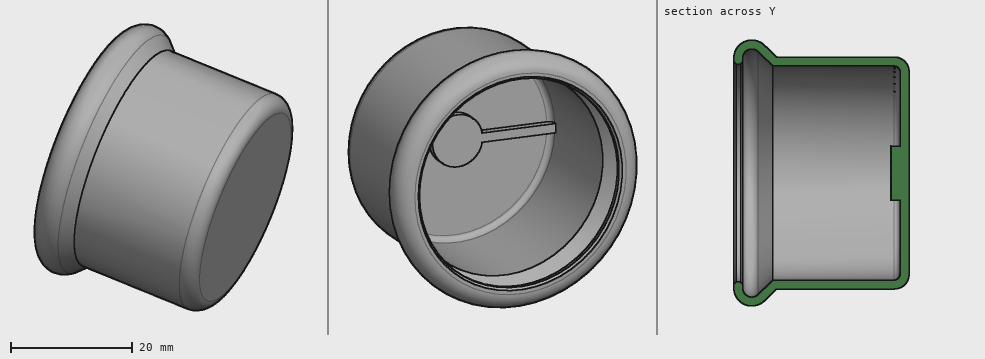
import cadquery as cq
import math

length = 29.0
rim_diameter = 44.0
body_diameter = 38.4
bore_diameter = 35.3
lip_diameter = 35.9

rim_round = 3.0
flank_angle = 44.0
lip_chamfer = 0.4
end_round = 2.5
floor_round = 1.0

pad_diameter = 9.0
pad_height = 1.5
rib_width = 1.6

body_radius = body_diameter / 2
bore_radius = bore_diameter / 2
lip_radius = lip_diameter / 2
wall = body_radius - bore_radius
floor_x = length - wall
inner_rim_round = rim_round - wall
rim_center_radius = rim_diameter / 2 - rim_round

flank_start = 90 - flank_angle
mouth_side = 180
rim_middle = (flank_start + mouth_side) / 2


def rim_point(radius, angle_deg):
    """Point (x, r) on a circle around the centre of the rim's cross-section."""
    angle = math.radians(angle_deg)
    return (
        rim_round + radius * math.cos(angle),
        rim_center_radius + radius * math.sin(angle),
    )


def flank_end(rim_radius, cylinder_radius):
    """Point where the flank tangent to a rim circle meets a cylinder."""
    x, r = rim_point(rim_radius, flank_start)
    run = (r - cylinder_radius) / math.tan(math.radians(flank_angle))
    return (x + run, cylinder_radius)


def revolve_to_closed_end(profile, rim_radius, cylinder_radius, end_x, corner_round):
    """From the mouth side of the rim, add rim, flank, cylinder and rounded end, then revolve."""
    corner_x = end_x - corner_round
    corner_r = cylinder_radius - corner_round
    diagonal = corner_round * math.sqrt(0.5)
    return (
        profile.lineTo(*rim_point(rim_radius, mouth_side))
        .threePointArc(rim_point(rim_radius, rim_middle), rim_point(rim_radius, flank_start))
        .lineTo(*flank_end(rim_radius, cylinder_radius))
        .lineTo(corner_x, cylinder_radius)
        .threePointArc((corner_x + diagonal, corner_r + diagonal), (end_x, corner_r))
        .lineTo(end_x, 0)
        .close()
        .revolve(360, (0, 0, 0), (1, 0, 0))
    )


def make_outside():
    """Solid envelope of the cap."""
    profile = cq.Workplane("XY").moveTo(0, 0)
    return revolve_to_closed_end(profile, rim_round, body_radius, length, end_round)


def make_cavity():
    """Inside space: chamfered lip, undercut inside the rim, bore and rounded floor."""
    profile = (
        cq.Workplane("XY")
        .moveTo(0, 0)
        .lineTo(0, lip_radius + lip_chamfer)
        .lineTo(lip_chamfer, lip_radius)
        .lineTo(wall - lip_chamfer, lip_radius)
        .lineTo(wall, lip_radius + lip_chamfer)
    )
    return revolve_to_closed_end(profile, inner_rim_round, bore_radius, floor_x, floor_round)


def make_pad():
    """Pad and rib, sunk halfway into the floor and the wall so that they fuse with them."""
    overlap = wall / 2
    rib_length = bore_radius + overlap
    depth = pad_height + overlap
    base = cq.Workplane("YZ", origin=(floor_x - pad_height, 0, 0))
    disc = base.circle(pad_diameter / 2).extrude(depth)
    rib = base.center(-rib_length / 2, 0).rect(rib_length, rib_width).extrude(depth)
    return disc.union(rib).intersect(make_outside())


result = make_outside().cut(make_cavity()).union(make_pad())